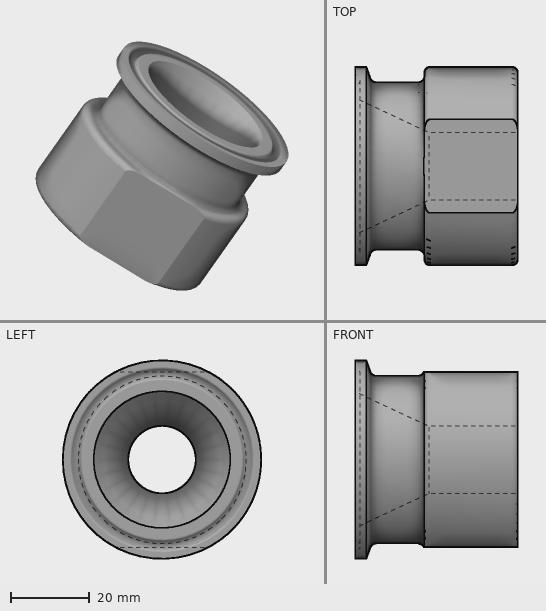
import cadquery as cq
import math

length = 41.25
outer_radius = 50.4 / 2
neck_radius = 42.6 / 2

flange_rim_width = 2.8
flange_back_angle = math.radians(20)

body_start = 17.55
flat_height = 22.2

blend_radius = 1.5

groove_radius = 21.8
groove_half_width = 1.7
groove_bottom_radius = 1.2
groove_edge_radius = 0.6

bore_mouth_radius = 17.35
bore_throat_radius = 17.1 / 2
cone_length = 18.7


def revolve_about_x(profile):
    return profile.close().revolve(360, (0, 0, 0), (1, 0, 0))


def make_outer_shape():
    """Flange, neck and round body, with the flange corner, neck corner and body edges rounded."""
    turn = math.pi / 2 - flange_back_angle
    arc_start_radius = neck_radius + blend_radius * (1 - math.cos(turn))
    arc_start = flange_rim_width + (outer_radius - arc_start_radius) * math.tan(flange_back_angle)
    arc_end = arc_start + blend_radius * math.sin(turn)
    return revolve_about_x(
        cq.Workplane("XY")
        .lineTo(0, outer_radius)
        .lineTo(flange_rim_width, outer_radius)
        .lineTo(arc_start, arc_start_radius)
        .radiusArc((arc_end, neck_radius), -blend_radius)
        .lineTo(body_start - blend_radius, neck_radius)
        .radiusArc((body_start, neck_radius + blend_radius), -blend_radius)
        .lineTo(body_start, outer_radius - blend_radius)
        .radiusArc((body_start + blend_radius, outer_radius), blend_radius)
        .lineTo(length - blend_radius, outer_radius)
        .radiusArc((length, outer_radius - blend_radius), blend_radius)
        .lineTo(length, 0)
    )


def make_flat_cutter(side):
    """Block that trims the body to a flat; side is +1 for the top and -1 for the bottom."""
    depth = outer_radius - flat_height
    return (
        cq.Workplane("XY")
        .box(length, 2 * outer_radius, depth)
        .translate((body_start - blend_radius + length / 2, 0, side * (flat_height + depth / 2)))
    )


def make_groove():
    """Ring sunk into the flange face: a round bottom between two rounded edges, all tangent."""
    wall_angle = math.asin(groove_half_width / (groove_bottom_radius + groove_edge_radius))
    join_offset = groove_bottom_radius * math.sin(wall_angle)
    join_depth = groove_edge_radius * (1 - math.cos(wall_angle))
    full_depth = join_depth + groove_bottom_radius * (1 - math.cos(wall_angle))
    return revolve_about_x(
        cq.Workplane("XY")
        .moveTo(0, groove_radius - groove_half_width)
        .radiusArc((join_depth, groove_radius - join_offset), groove_edge_radius)
        .threePointArc((full_depth, groove_radius), (join_depth, groove_radius + join_offset))
        .radiusArc((0, groove_radius + groove_half_width), groove_edge_radius)
    )


def make_passage():
    """Cone from the flange face down to a straight throat that leaves through the far end."""
    return revolve_about_x(
        cq.Workplane("XY")
        .lineTo(0, bore_mouth_radius)
        .lineTo(cone_length, bore_throat_radius)
        .lineTo(length, bore_throat_radius)
        .lineTo(length, 0)
    )


result = make_outer_shape()
for side in (1, -1):
    result = result.cut(make_flat_cutter(side))
result = result.cut(make_groove())
result = result.cut(make_passage())